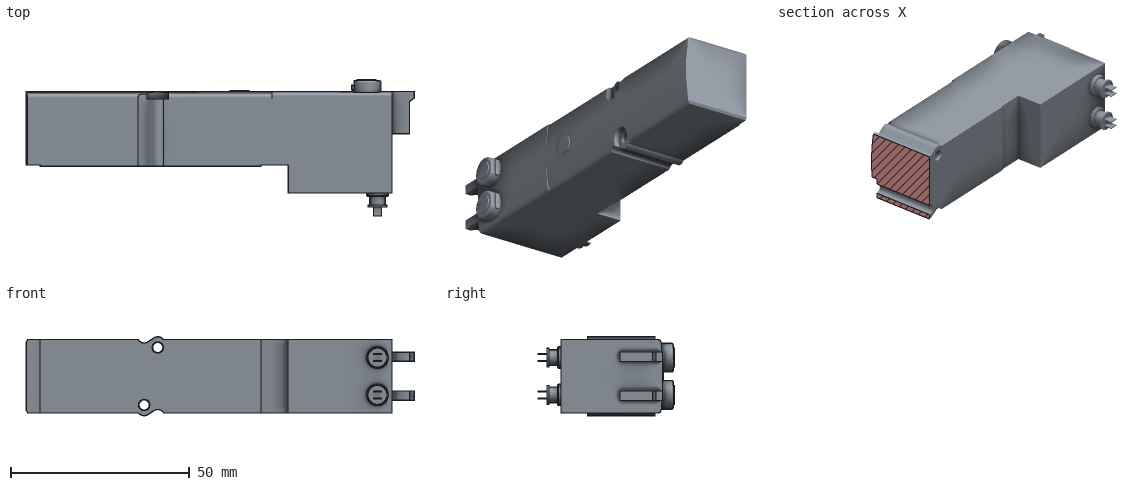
import cadquery as cq
import math


HEIGHT = 20.6
HALF_HEIGHT = HEIGHT / 2
BODY_LENGTH = 102.3
CAP_LENGTH = 3.9
VALVE_LENGTH = 68.7
VALVE_FRONT = -20.9
RELIEF_FRONT = -20.6
RELIEF_START = 65.6
BLOCK_START = 73.2
BLOCK_FRONT = -28.4
VALVE_CROWN = 0.9
VALVE_CORNER_RADIUS = 1.1
BLOCK_CROWN = 0.4
BLOCK_CORNER_RADIUS = 1.0
CAP_BEVEL_LENGTH = 0.4
CAP_BEVEL_HEIGHT = 0.8

SCREW_X = 36.8
SCREW_SPACING_X = 3.8
SCREW_MID_X = SCREW_X - SCREW_SPACING_X / 2
SCREW_OFFSET_Z = 8.0
SCREW_HOLE_DIAMETER = 2.8
SCREW_MOUTH_DIAMETER = 3.1
SCREW_MOUTH_DEPTH = 0.2
SCREW_HEAD_DIAMETER = 6.1
SCREW_HEAD_DEPTH = 2.1

WAVE_RADIUS = 2.0
LOBE_TOP = 11.1
LOBE_Z = LOBE_TOP - WAVE_RADIUS
GROOVE_FLOOR = 9.3
GROOVE_Z = GROOVE_FLOOR + WAVE_RADIUS
LOBE_X = SCREW_X
GROOVE_X = SCREW_X - SCREW_SPACING_X

BUTTON_X = 59.7
BUTTON_DIAMETER = 5.3
BUTTON_HEIGHT = 0.3
BUTTON_SEAT_DEPTH = 1.1

PORT_OFFSET_Z = 5.2
KNOB_X = 95.2
KNOB_DIAMETER = 8.1
KNOB_RIM_HEIGHT = 3.0
KNOB_SEAT_DEPTH = 1.3
KNOB_HEIGHT = 3.4
KNOB_RIM_ROUNDING = 0.7
KNOB_TOP_DIAMETER = 5.3
KNOB_KEY_WIDTH = 4.5
KNOB_KEY_TOP = 1.7
KNOB_KEY_BOTTOM = 0.5
KNOB_KEY_PROJECTION = 0.1
KNOB_FLAT_DEPTH = 0.5

PLUG_X = 98.2
PLUG_RING_DIAMETER = 6.1
PLUG_NECK_DIAMETER = 4.5
PLUG_FLANGE_DIAMETER = 5.3
PLUG_RING_LENGTH = 1.0
PLUG_RING_CHAMFER = 0.3
PLUG_NECK_LENGTH = 2.3
PLUG_FLANGE_LENGTH = 0.7
PIN_END = -34.8
PIN_WIDTH = 2.3
PIN_THICKNESS = 0.3
PIN_OFFSET_Z = 1.0

LATCH_OFFSET_Z = 5.4
LATCH_WIDTH = 2.6
LATCH_FRONT = -11.8
LATCH_ARM_X = 107.2
LATCH_TIP_X = 108.5
HOOK_DEPTH = 1.8
HOOK_SLOPE = 1.0


def box(x_range, y_range, z_range):
    """Box spanning the given (low, high) ranges."""
    sizes = [high - low for low, high in (x_range, y_range, z_range)]
    corner = (x_range[0], y_range[0], z_range[0])
    return cq.Workplane("XY").box(*sizes, centered=False).translate(corner)


def rod(diameter, x, z, y_start, y_end):
    """Cylinder along Y between two Y positions."""
    start_plane = cq.Workplane("XZ", origin=(x, y_start, z))
    return start_plane.circle(diameter / 2).extrude(y_start - y_end)


def mirrored_in_z(shape):
    """The shape together with its mirror image below mid-height."""
    return shape.union(shape.mirror("XY"))


def turned_about_screw_midpoint(shape):
    """The shape together with its copy turned half a turn about the screw midpoint."""
    turned = shape.rotate((SCREW_MID_X, 0, 0), (SCREW_MID_X, 1, 0), 180)
    return shape.union(turned)


def crowned_bar(x_start, x_end, front, crown, corner_radius):
    """Bar along X with a gently crowned back face and rounded back corners."""
    return (
        cq.Workplane("YZ", origin=(x_start, 0, 0))
        .moveTo(front, -HALF_HEIGHT)
        .lineTo(-crown, -HALF_HEIGHT)
        .threePointArc((0, 0), (-crown, HALF_HEIGHT))
        .lineTo(front, HALF_HEIGHT)
        .close()
        .extrude(x_end - x_start)
        .edges("|X")
        .edges(">Y")
        .fillet(corner_radius)
    )


def make_valve():
    """Valve bar with slightly recessed ends along its front and a bevelled end cap."""
    bar = crowned_bar(0, VALVE_LENGTH, VALVE_FRONT, VALVE_CROWN, VALVE_CORNER_RADIUS)
    z_range = (-HALF_HEIGHT, HALF_HEIGHT)
    cap_recess = box((0, CAP_LENGTH), (VALVE_FRONT, RELIEF_FRONT), z_range)
    link_recess = box((RELIEF_START, VALVE_LENGTH), (VALVE_FRONT, RELIEF_FRONT), z_range)
    cap_bevel = (
        cq.Workplane("XZ")
        .moveTo(0, HALF_HEIGHT)
        .lineTo(CAP_BEVEL_LENGTH, HALF_HEIGHT)
        .lineTo(0, HALF_HEIGHT - CAP_BEVEL_HEIGHT)
        .close()
        .extrude(-VALVE_FRONT)
    )
    return bar.cut(cap_recess).cut(link_recess).cut(mirrored_in_z(cap_bevel))


def make_connection_block():
    """Crowned block at the far end, deeper toward the front beyond the valve."""
    bar = crowned_bar(VALVE_LENGTH, BODY_LENGTH, RELIEF_FRONT, BLOCK_CROWN, BLOCK_CORNER_RADIUS)
    foot = box((BLOCK_START, BODY_LENGTH), (BLOCK_FRONT, RELIEF_FRONT), (-HALF_HEIGHT, HALF_HEIGHT))
    return bar.union(foot)


def shape_waves(valve):
    """Cut the grooves and add the lobes that let neighbouring valves interlock."""
    centre_drop = GROOVE_Z - LOBE_Z
    centre_distance = math.hypot(SCREW_SPACING_X, centre_drop)
    flank_angle = math.asin(2 * WAVE_RADIUS / centre_distance) - math.atan2(centre_drop, SCREW_SPACING_X)
    tangent_x = WAVE_RADIUS * math.sin(flank_angle)
    tangent_z = WAVE_RADIUS * math.cos(flank_angle)
    groove_tangent = (GROOVE_X + tangent_x, GROOVE_Z - tangent_z)
    lobe_tangent = (LOBE_X - tangent_x, LOBE_Z + tangent_z)

    groove_edge_x = GROOVE_X - math.sqrt(WAVE_RADIUS**2 - (GROOVE_Z - HALF_HEIGHT) ** 2)
    lobe_edge_x = LOBE_X + math.sqrt(WAVE_RADIUS**2 - (HALF_HEIGHT - LOBE_Z) ** 2)

    groove = (
        cq.Workplane("XZ")
        .moveTo(groove_edge_x, HALF_HEIGHT)
        .threePointArc((GROOVE_X, GROOVE_FLOOR), groove_tangent)
        .lineTo(*lobe_tangent)
        .lineTo(groove_edge_x, lobe_tangent[1])
        .close()
        .extrude(-VALVE_FRONT)
    )
    lobe = (
        cq.Workplane("XZ", origin=(0, -SCREW_HEAD_DEPTH, 0))
        .moveTo(*groove_tangent)
        .lineTo(*lobe_tangent)
        .threePointArc((LOBE_X, LOBE_TOP), (lobe_edge_x, HALF_HEIGHT))
        .lineTo(lobe_edge_x, groove_tangent[1])
        .close()
        .extrude(-SCREW_HEAD_DEPTH - VALVE_FRONT)
    )
    return valve.cut(turned_about_screw_midpoint(groove)).union(turned_about_screw_midpoint(lobe))


def make_screw_cutouts():
    """Through holes whose round-bottomed head recesses open to the nearby Z face."""
    hole = rod(SCREW_HOLE_DIAMETER, SCREW_X, SCREW_OFFSET_Z, 0, VALVE_FRONT)
    mouth = (
        cq.Workplane("XZ", origin=(SCREW_X, VALVE_FRONT, SCREW_OFFSET_Z))
        .circle(SCREW_MOUTH_DIAMETER / 2)
        .workplane(offset=-SCREW_MOUTH_DEPTH)
        .circle(SCREW_HOLE_DIAMETER / 2)
        .loft()
    )
    head_seat = rod(SCREW_HEAD_DIAMETER, SCREW_X, SCREW_OFFSET_Z, 0, -SCREW_HEAD_DEPTH)
    head_radius = SCREW_HEAD_DIAMETER / 2
    head_opening = box(
        (SCREW_X - head_radius, SCREW_X + head_radius),
        (-SCREW_HEAD_DEPTH, 0),
        (SCREW_OFFSET_Z, LOBE_TOP),
    )
    return turned_about_screw_midpoint(hole.union(mouth).union(head_seat).union(head_opening))


def make_knob():
    """Round knob with a raised top, a flat on the valve side and a key below the flat."""
    radius = KNOB_DIAMETER / 2
    rim = rod(KNOB_DIAMETER, KNOB_X, PORT_OFFSET_Z, KNOB_RIM_HEIGHT, -KNOB_SEAT_DEPTH)
    rim = rim.faces(">Y").edges().fillet(KNOB_RIM_ROUNDING)
    top = rod(KNOB_TOP_DIAMETER, KNOB_X, PORT_OFFSET_Z, KNOB_HEIGHT, 0)
    flat_cut = box(
        (KNOB_X - radius, KNOB_X - radius + KNOB_FLAT_DEPTH),
        (KNOB_KEY_TOP, KNOB_HEIGHT),
        (PORT_OFFSET_Z - radius, PORT_OFFSET_Z + radius),
    )
    key = box(
        (KNOB_X - radius - KNOB_KEY_PROJECTION, KNOB_X),
        (KNOB_KEY_BOTTOM, KNOB_KEY_TOP),
        (PORT_OFFSET_Z - KNOB_KEY_WIDTH / 2, PORT_OFFSET_Z + KNOB_KEY_WIDTH / 2),
    )
    return rim.cut(flat_cut).union(top).union(key)


def make_plug():
    """Stepped round plug with two flat contact pins."""
    neck_start = BLOCK_FRONT - PLUG_RING_LENGTH
    flange_start = neck_start - PLUG_NECK_LENGTH
    pin_start = flange_start - PLUG_FLANGE_LENGTH

    ring = rod(PLUG_RING_DIAMETER, PLUG_X, PORT_OFFSET_Z, BLOCK_FRONT, neck_start)
    ring = ring.faces("<Y").edges().chamfer(PLUG_RING_CHAMFER)
    neck = rod(PLUG_NECK_DIAMETER, PLUG_X, PORT_OFFSET_Z, BLOCK_FRONT, flange_start)
    flange = rod(PLUG_FLANGE_DIAMETER, PLUG_X, PORT_OFFSET_Z, flange_start, pin_start)
    plug = ring.union(neck).union(flange)
    for side in (-1, 1):
        pin_z = PORT_OFFSET_Z + side * PIN_OFFSET_Z
        pin = box(
            (PLUG_X - PIN_WIDTH / 2, PLUG_X + PIN_WIDTH / 2),
            (PIN_END, pin_start),
            (pin_z - PIN_THICKNESS / 2, pin_z + PIN_THICKNESS / 2),
        )
        plug = plug.union(pin)
    return plug


def make_latch():
    """Latch arm with a hooked tip at the back."""
    return (
        cq.Workplane("XY", origin=(0, 0, LATCH_OFFSET_Z - LATCH_WIDTH / 2))
        .moveTo(BODY_LENGTH, 0)
        .lineTo(LATCH_TIP_X, 0)
        .lineTo(LATCH_TIP_X, -HOOK_DEPTH)
        .lineTo(LATCH_ARM_X, -HOOK_DEPTH - HOOK_SLOPE)
        .lineTo(LATCH_ARM_X, LATCH_FRONT)
        .lineTo(BODY_LENGTH, LATCH_FRONT)
        .close()
        .extrude(LATCH_WIDTH)
    )


valve = shape_waves(make_valve()).cut(make_screw_cutouts())
button = rod(BUTTON_DIAMETER, BUTTON_X, 0, BUTTON_HEIGHT, -BUTTON_SEAT_DEPTH)
result = valve.union(make_connection_block()).union(button)
for fitting in (make_knob(), make_plug(), make_latch()):
    result = result.union(mirrored_in_z(fitting))